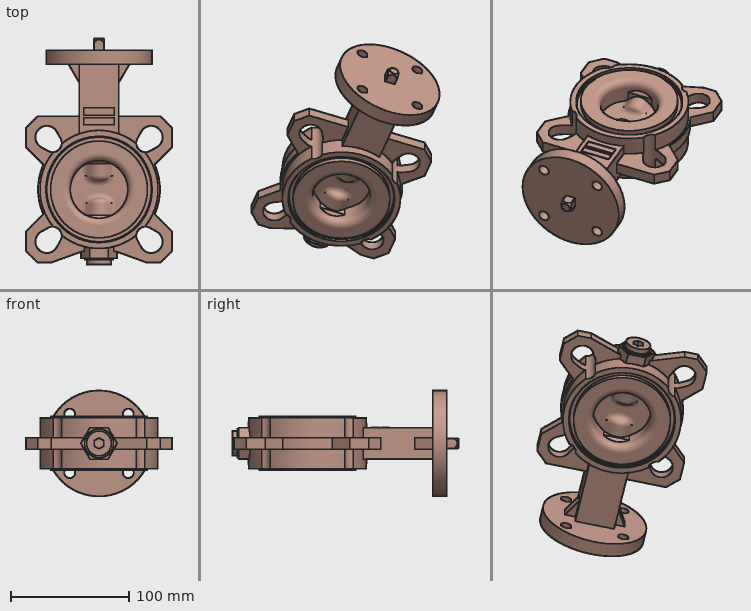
import cadquery as cq
import math


body_radius = 50.0
body_height = 43.3
liner_radius = 41.0
liner_height = 45.6
groove_radius = 45.0
groove_bevel = 0.8
groove_depth = 3.5
bore_radius = 24.3
mouth_rounding = 6.1

plate_thickness = 10.0
plate_size = 124.0
plate_ring_radius = 51.8
lug_chamfer = 10.0
lug_side_width = 26.3
lower_flat_x = 40.5
lower_web_x = 13.0
lower_web_y = -52.1

bolt_circle_radius = 62.5
bolt_hole_radius = 9.5
bolt_tip_radius = 7.7
bolt_tip_circle_radius = 55.5

neck_width = 33.7
neck_depth = 26.6
flange_diameter = 90.0
flange_start = 106.0
flange_thickness = 12.0
flange_hole_diameter = 9.0
flange_hole_circle_radius = 35.0
gusset_width = 9.0
gusset_length = 15.3

pad_width = 25.5
pad_length = 6.1
pad_height = 0.5
pad_centres_y = (66.0, 57.7)

stem_length = 10.0
stem_square = 9.0
stem_corner_diameter = 12.0
stem_tip_radius = 3.8
stem_tip_length = 3.3

boss_across_flats = 26.6
boss_end = 58.3
washer_radius = 12.3
washer_thickness = 1.2
plug_radius = 10.5
plug_end = 63.6
socket_across_flats = 8.0
socket_depth = 4.8

disc_thickness = 5.0
seat_flat_y = 21.7
seat_flat_height = 23.5
hub_tip_y = 7.3
hub_tip_radius = 9.4
hub_taper = 3.8
hub_flank_angle = 41.0
hub_tip_rounding = 4.8
hub_foot_fillet = 4.5

half_plate = plate_size / 2
flange_end = flange_start + flange_thickness


def cylinder_y(radius, start, end):
    """Cylinder along the Y axis between two Y positions."""
    return cq.Workplane("XZ", origin=(0, start, 0)).circle(radius).extrude(start - end)


def hexagon_y(across_flats, start, end, turn=0):
    """Hexagonal bar along the Y axis, with two corners on X before it is turned."""
    across_corners = across_flats / math.cos(math.radians(30))
    bar = cq.Workplane("XZ", origin=(0, start, 0)).polygon(6, across_corners).extrude(start - end)
    return bar.rotate((0, 0, 0), (0, 1, 0), turn)


def mirrored_pair(shape, plane):
    return shape.union(shape.mirror(plane))


def make_body_ring():
    """Body ring with a groove around the liner face at each end."""
    half_body = body_height / 2
    half_liner = liner_height / 2
    floor = half_body - groove_depth
    half_section = (
        cq.Workplane("XZ")
        .lineTo(body_radius, 0)
        .lineTo(body_radius, half_body)
        .lineTo(groove_radius, half_body)
        .lineTo(groove_radius, floor + groove_bevel)
        .lineTo(groove_radius - groove_bevel, floor)
        .lineTo(liner_radius, floor)
        .lineTo(liner_radius, half_liner)
        .lineTo(0, half_liner)
        .close()
        .revolve(360, (0, 0, 0), (0, 1, 0))
    )
    return mirrored_pair(half_section, "XY")


def make_lug_plate():
    side_y = half_plate - lug_side_width
    edge_offset = half_plate - side_y
    ring_y = (math.sqrt(2 * plate_ring_radius**2 - edge_offset**2) - edge_offset) / 2
    ring_x = ring_y + edge_offset
    plate = (
        cq.Workplane("XY", origin=(0, 0, -plate_thickness / 2))
        .moveTo(0, half_plate)
        .lineTo(half_plate - lug_chamfer, half_plate)
        .lineTo(half_plate, half_plate - lug_chamfer)
        .lineTo(half_plate, side_y)
        .lineTo(ring_x, ring_y)
        .threePointArc((plate_ring_radius, 0), (ring_x, -ring_y))
        .lineTo(half_plate, -side_y)
        .lineTo(half_plate, lug_chamfer - half_plate)
        .lineTo(half_plate - lug_chamfer, -half_plate)
        .lineTo(lower_flat_x, -half_plate)
        .lineTo(lower_web_x, lower_web_y)
        .lineTo(0, lower_web_y)
        .close()
        .extrude(plate_thickness)
    )
    return mirrored_pair(plate, "YZ")


def make_bolt_slots():
    """Four slots on the diagonals, narrowing towards the bore and notching the body ring."""
    spacing = bolt_circle_radius - bolt_tip_circle_radius
    lean = (bolt_hole_radius - bolt_tip_radius) / spacing
    rise = math.sqrt(1 - lean**2)
    hole_x = bolt_circle_radius - bolt_hole_radius * lean
    hole_y = bolt_hole_radius * rise
    tip_x = bolt_tip_circle_radius - bolt_tip_radius * lean
    tip_y = bolt_tip_radius * rise
    slot = (
        cq.Workplane("XY", origin=(0, 0, -liner_height / 2))
        .moveTo(hole_x, hole_y)
        .threePointArc((bolt_circle_radius + bolt_hole_radius, 0), (hole_x, -hole_y))
        .lineTo(tip_x, -tip_y)
        .threePointArc((bolt_tip_circle_radius - bolt_tip_radius, 0), (tip_x, tip_y))
        .close()
        .extrude(liner_height)
    )
    slots = cq.Workplane("XY")
    for angle in (45, 135, 225, 315):
        slots = slots.union(slot.rotate((0, 0, 0), (0, 0, 1), angle))
    return slots


def make_neck():
    neck = cq.Workplane("XY").box(neck_width, flange_start, neck_depth, centered=(True, False, True))
    for pad_y in pad_centres_y:
        pad = cq.Workplane("XY", origin=(0, pad_y, neck_depth / 2)).rect(pad_width, pad_length)
        neck = neck.union(pad.extrude(pad_height))
    half_neck = neck_width / 2
    gussets = (
        cq.Workplane("XY", origin=(0, 0, -plate_thickness / 2))
        .moveTo(half_neck + gusset_width, flange_start)
        .lineTo(half_neck, flange_start - gusset_length)
        .lineTo(-half_neck, flange_start - gusset_length)
        .lineTo(-half_neck - gusset_width, flange_start)
        .close()
        .extrude(plate_thickness)
    )
    return neck.union(gussets)


def make_flange():
    hole_offset = flange_hole_circle_radius / math.sqrt(2)
    holes = (
        cq.Workplane("XZ", origin=(0, flange_start, 0))
        .rect(2 * hole_offset, 2 * hole_offset, forConstruction=True)
        .vertices()
        .circle(flange_hole_diameter / 2)
        .extrude(-flange_thickness)
    )
    return cylinder_y(flange_diameter / 2, flange_start, flange_end).cut(holes)


def make_stem():
    """Square stem end with trimmed corners and a conical tip."""
    end = flange_end + stem_length
    corner_radius = stem_corner_diameter / 2
    square = cq.Workplane("XY", origin=(0, flange_end, 0)).box(
        stem_square, stem_length, stem_square, centered=(True, False, True)
    )
    envelope = (
        cq.Workplane("XY")
        .moveTo(0, flange_end)
        .lineTo(corner_radius, flange_end)
        .lineTo(corner_radius, end - stem_tip_length)
        .lineTo(stem_tip_radius, end)
        .lineTo(0, end)
        .close()
        .revolve(360, (0, 0, 0), (0, 1, 0))
    )
    return square.intersect(envelope)


def make_plug():
    washer_end = boss_end + washer_thickness
    plug = hexagon_y(boss_across_flats, -bore_radius - mouth_rounding, -boss_end)
    plug = plug.union(cylinder_y(washer_radius, -boss_end, -washer_end))
    plug = plug.union(cylinder_y(plug_radius, -washer_end, -plug_end))
    return plug.cut(hexagon_y(socket_across_flats, -plug_end, socket_depth - plug_end, turn=30))


def make_bore():
    """Bore with rounded mouths, narrowed by a bevelled flat liner seat on both stem sides."""
    half_liner = liner_height / 2
    straight_end = half_liner - mouth_rounding
    mouth_radius = bore_radius + mouth_rounding
    arc_step = mouth_rounding * math.sqrt(0.5)
    half_bore = (
        cq.Workplane("XZ")
        .lineTo(bore_radius, 0)
        .lineTo(bore_radius, straight_end)
        .threePointArc((mouth_radius - arc_step, straight_end + arc_step), (mouth_radius, half_liner))
        .lineTo(0, half_liner)
        .close()
        .revolve(360, (0, 0, 0), (0, 1, 0))
    )
    bore = mirrored_pair(half_bore, "XY")
    seat_depth = bore_radius - seat_flat_y
    inner_z = seat_flat_height / 2
    outer_z = inner_z + seat_depth
    seat = (
        cq.Workplane("YZ", origin=(-bore_radius, 0, 0))
        .moveTo(seat_flat_y, -inner_z)
        .lineTo(bore_radius, -outer_z)
        .lineTo(bore_radius, outer_z)
        .lineTo(seat_flat_y, inner_z)
        .close()
        .extrude(2 * bore_radius)
    )
    return bore.cut(mirrored_pair(seat, "XZ"))


def hub_section(y, radius):
    """Hub outline at one Y position: a round top with straight flanks down to mid-plane."""
    angle = math.radians(hub_flank_angle)
    flank_x = radius * math.sin(angle)
    flank_z = radius * math.cos(angle)
    foot_x = flank_x + flank_z / math.tan(angle)
    return (
        cq.Workplane("XZ", origin=(0, y, 0))
        .moveTo(-foot_x, 0)
        .lineTo(-flank_x, flank_z)
        .threePointArc((0, radius), (flank_x, flank_z))
        .lineTo(foot_x, 0)
        .close()
        .wires()
        .val()
    )


def make_disc():
    """Closed disc with a rounded stem hub at both ends of both faces."""
    root_y = bore_radius + hub_foot_fillet
    root_radius = hub_tip_radius + (root_y - hub_tip_y) * math.tan(math.radians(hub_taper))
    sections = [hub_section(hub_tip_y, hub_tip_radius), hub_section(root_y, root_radius)]
    hub = cq.Workplane(cq.Solid.makeLoft(sections, True))
    hub = hub.faces("<Y").edges("not <Z").fillet(hub_tip_rounding)
    half_thickness = disc_thickness / 2
    slab = cq.Workplane("XY").box(2 * root_y, 2 * root_y, half_thickness, centered=(True, True, False))
    slab = slab.union(mirrored_pair(hub, "XZ"))
    zone_margin = 0.2
    foot_zone = cq.selectors.BoxSelector(
        (-bore_radius, -bore_radius, half_thickness - zone_margin),
        (bore_radius, bore_radius, half_thickness + zone_margin),
    )
    slab = slab.edges(foot_zone).fillet(hub_foot_fillet)
    half_disc = slab.intersect(cq.Workplane("XY").circle(bore_radius).extrude(bore_radius))
    return mirrored_pair(half_disc, "XY")


result = (
    make_body_ring()
    .union(make_lug_plate())
    .union(make_neck())
    .union(make_plug())
    .cut(make_bolt_slots())
    .cut(make_bore())
    .union(make_disc())
    .union(make_flange())
    .union(make_stem())
)